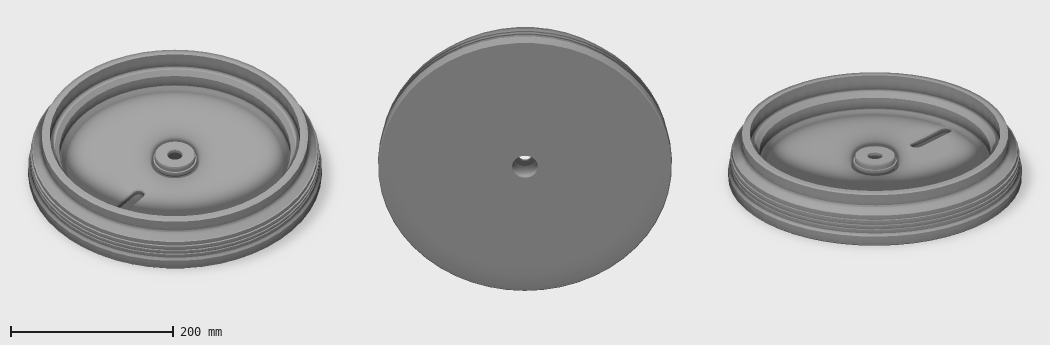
import cadquery as cq

OUTER_RADIUS = 181.0
TOTAL_HEIGHT = 63.0

FOOT_CHAMFER = 1.5
FLANGE_HEIGHT = 16.3

RIB_RADIUS = 356.0 / 2
FLANGE_SHOULDER = OUTER_RADIUS - RIB_RADIUS
GROOVE_RADIUS = 353.0 / 2
GROOVES = [(21.5, 24.5), (27.0, 30.5)]
RIB_BAND_TOP = 34.0
PLAIN_BAND_RADIUS = 352.0 / 2
PLAIN_BAND_TOP = 39.8

CONE_FOOT_RADIUS = 174.5
CONE_TOP_RADIUS = 165.5
CONE_TOP = 46.3
RIM_RADIUS = 328.0 / 2
RIM_FOOT = 48.0
RIM_TOP_RADIUS = 322 / 2
RIM_EDGE_HEIGHT = 0.7
RIM_BORE_RADIUS = 308.5 / 2

LEDGE_HEIGHT = 43.8
LEDGE_INNER_RADIUS = 148.0
BORE_RADIUS = 285.0 / 2
BORE_CONE_FOOT = 38.0

FLOOR_HEIGHT = 19.0
FLOOR_RADIUS = 134.2
PLATE_EDGE_HEIGHT = 23.0
PLATE_LIP_RADIUS = 139.5

SLOT_WIDTH = 16.5
SLOT_INNER_END = 66.0
SLOT_OUTER_END = 134.5
SLOT_DEPTH = 7.0
SLOT_CHAMFER = 1.5

HUB_RADIUS = 70.0 / 2
HUB_TOP = 32.2
HUB_HEAD_RADIUS = 50.0 / 2
HUB_TOP_RADIUS = 48.5 / 2
HUB_EDGE_HEIGHT = 2.0
HUB_COLLAR_RADIUS = 26.8
HUB_COLLAR_TOP = 25.0
HUB_COLLAR_BOTTOM = 20.5
MOAT_FOOT_RADIUS = 26.8
MOAT_RADIUS = 30.0
MOAT_DEPTH = 2.0
HUB_HOLE_RADIUS = 18 / 2
HUB_HOLE_MOUTH_RADIUS = 20.0 / 2
HUB_HOLE_CHAMFER = HUB_HOLE_MOUTH_RADIUS - HUB_HOLE_RADIUS
HUB_CAVITY_RADIUS = 32.0 / 2
HUB_CAVITY_TOP = 27.5


def revolve_profile(points):
    """Revolve a closed outline of (radius, height) points about the Z axis."""
    return cq.Workplane("XZ").polyline(points).close().revolve(360, (0, 0), (0, 1))


def make_cover_ring():
    flange_and_ribs = [
        (BORE_RADIUS, 0),
        (OUTER_RADIUS - FOOT_CHAMFER, 0),
        (OUTER_RADIUS, FOOT_CHAMFER),
        (OUTER_RADIUS, FLANGE_HEIGHT - FLANGE_SHOULDER),
        (RIB_RADIUS, FLANGE_HEIGHT),
    ]
    for groove_bottom, groove_top in GROOVES:
        flange_and_ribs += [
            (RIB_RADIUS, groove_bottom),
            (GROOVE_RADIUS, groove_bottom),
            (GROOVE_RADIUS, groove_top),
            (RIB_RADIUS, groove_top),
        ]
    shoulder_and_rim = [
        (RIB_RADIUS, RIB_BAND_TOP),
        (PLAIN_BAND_RADIUS, RIB_BAND_TOP),
        (PLAIN_BAND_RADIUS, PLAIN_BAND_TOP),
        (CONE_FOOT_RADIUS, PLAIN_BAND_TOP),
        (CONE_TOP_RADIUS, CONE_TOP),
        (RIM_RADIUS, RIM_FOOT),
        (RIM_RADIUS, TOTAL_HEIGHT - RIM_EDGE_HEIGHT),
        (RIM_TOP_RADIUS, TOTAL_HEIGHT),
    ]
    inner_wall = [
        (RIM_BORE_RADIUS, TOTAL_HEIGHT),
        (RIM_BORE_RADIUS, LEDGE_HEIGHT),
        (LEDGE_INNER_RADIUS, LEDGE_HEIGHT),
        (BORE_RADIUS, BORE_CONE_FOOT),
    ]
    return revolve_profile(flange_and_ribs + shoulder_and_rim + inner_wall)


def make_slot_cutter():
    slot_length = SLOT_OUTER_END - SLOT_INNER_END
    slot_center_y = -(SLOT_INNER_END + SLOT_OUTER_END) / 2
    pocket_width = SLOT_WIDTH - 2 * SLOT_CHAMFER
    pocket_length = slot_length - 2 * SLOT_CHAMFER
    mouth = (
        cq.Workplane("XY", origin=(0, slot_center_y, FLOOR_HEIGHT))
        .slot2D(slot_length, SLOT_WIDTH, 90)
        .extrude(-SLOT_CHAMFER, taper=45)
    )
    pocket = (
        cq.Workplane("XY", origin=(0, slot_center_y, FLOOR_HEIGHT))
        .slot2D(pocket_length, pocket_width, 90)
        .extrude(-SLOT_DEPTH)
    )
    clearance = (
        cq.Workplane("XY", origin=(0, slot_center_y, FLOOR_HEIGHT))
        .slot2D(slot_length, SLOT_WIDTH, 90)
        .extrude(PLATE_EDGE_HEIGHT - FLOOR_HEIGHT)
    )
    return mouth.union(pocket).union(clearance)


def make_floor_plate():
    plate = revolve_profile([
        (HUB_RADIUS, 0),
        (BORE_RADIUS, 0),
        (BORE_RADIUS, PLATE_EDGE_HEIGHT),
        (PLATE_LIP_RADIUS, PLATE_EDGE_HEIGHT),
        (FLOOR_RADIUS, FLOOR_HEIGHT),
        (HUB_RADIUS, FLOOR_HEIGHT),
    ])
    return plate.cut(make_slot_cutter())


def make_hub():
    moat_floor = FLOOR_HEIGHT - MOAT_DEPTH
    return revolve_profile([
        (HUB_CAVITY_RADIUS, 0),
        (HUB_RADIUS, 0),
        (HUB_RADIUS, FLOOR_HEIGHT),
        (MOAT_RADIUS, FLOOR_HEIGHT),
        (MOAT_FOOT_RADIUS, moat_floor),
        (HUB_HEAD_RADIUS, moat_floor),
        (HUB_HEAD_RADIUS, HUB_COLLAR_BOTTOM),
        (HUB_COLLAR_RADIUS, HUB_COLLAR_BOTTOM),
        (HUB_COLLAR_RADIUS, HUB_COLLAR_TOP),
        (HUB_HEAD_RADIUS, HUB_COLLAR_TOP),
        (HUB_HEAD_RADIUS, HUB_TOP - HUB_EDGE_HEIGHT),
        (HUB_TOP_RADIUS, HUB_TOP),
        (HUB_HOLE_MOUTH_RADIUS, HUB_TOP),
        (HUB_HOLE_RADIUS, HUB_TOP - HUB_HOLE_CHAMFER),
        (HUB_HOLE_RADIUS, HUB_CAVITY_TOP),
        (HUB_CAVITY_RADIUS, HUB_CAVITY_TOP),
    ])


cover_ring = make_cover_ring()
floor_plate = make_floor_plate()
hub = make_hub()

result = cq.Compound.makeCompound([cover_ring.val(), floor_plate.val(), hub.val()])